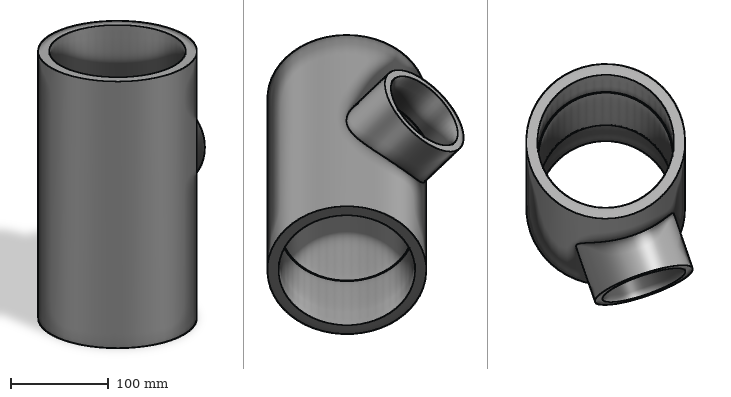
import cadquery as cq

main_length = 296.0
main_diameter = 163.0
main_bore_diameter = 138.0
main_socket_diameter = 140.0
main_socket_depth = 75.8

overall_depth = 204.5
branch_diameter = 106.0
branch_bore_diameter = 88.0
branch_socket_diameter = 90.0
branch_socket_depth = 41.5
branch_reach = overall_depth - main_diameter / 2


def upright_cylinder(diameter, bottom, height):
    return cq.Workplane("XY").workplane(offset=bottom).circle(diameter / 2).extrude(height)


def branch_cylinder(diameter, start, length):
    """Cylinder along +Y that starts at the given distance from the main axis."""
    return cq.Workplane("XZ", origin=(0, start, 0)).circle(diameter / 2).extrude(-length)


body = upright_cylinder(main_diameter, -main_length / 2, main_length)
body = body.union(branch_cylinder(branch_diameter, 0, branch_reach))

body = body.cut(upright_cylinder(main_bore_diameter, -main_length / 2, main_length))
for socket_bottom in (-main_length / 2, main_length / 2 - main_socket_depth):
    body = body.cut(upright_cylinder(main_socket_diameter, socket_bottom, main_socket_depth))

body = body.cut(branch_cylinder(branch_bore_diameter, 0, branch_reach))
socket_start = branch_reach - branch_socket_depth
body = body.cut(branch_cylinder(branch_socket_diameter, socket_start, branch_socket_depth))

result = body